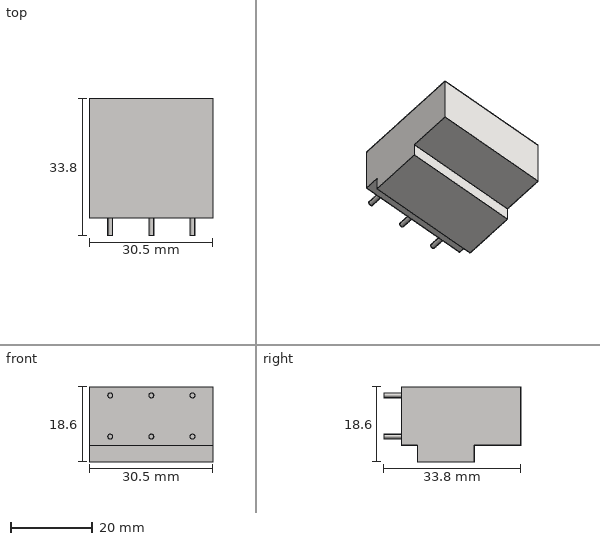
import cadquery as cq

width = 30.5
overall_length = 33.8
overall_height = 18.6
pin_length = 4.33
body_length = overall_length - pin_length
foot_height = 4.12
body_height = overall_height - foot_height

foot_length = 14.03
foot_setback = 3.95

pin_diameter = 1.2
pin_pitch = 10.15
pin_columns = 3
pin_rows = 2
top_row_depth = 2.13


def make_block(length, height, front, bottom):
    """Full-width block, centred on X."""
    return (
        cq.Workplane("XY")
        .box(width, length, height, centered=(True, False, False))
        .translate((0, front, bottom))
    )


def make_pins():
    """Grid of round pins pointing towards -Y."""
    row_centre = body_height - top_row_depth - pin_pitch * (pin_rows - 1) / 2
    return (
        cq.Workplane("XZ")
        .center(0, row_centre)
        .rarray(pin_pitch, pin_pitch, pin_columns, pin_rows)
        .circle(pin_diameter / 2)
        .extrude(pin_length)
    )


body = make_block(body_length, body_height, 0, 0)
foot = make_block(foot_length, foot_height, foot_setback, -foot_height)
result = body.union(foot).union(make_pins())